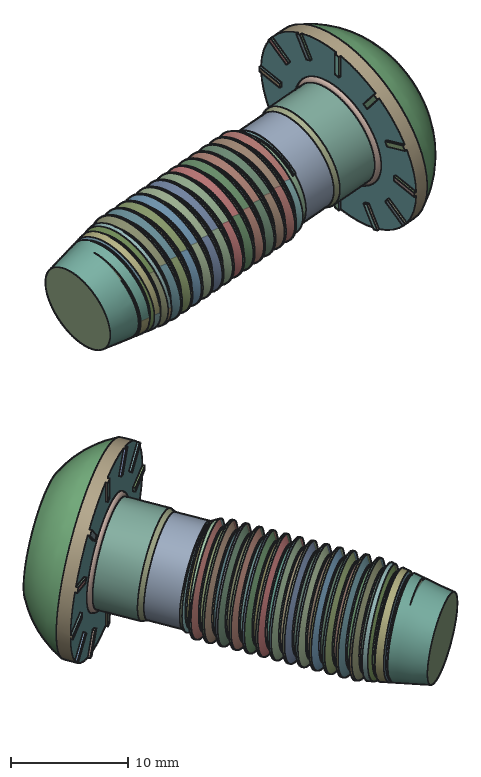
import cadquery as cq
import math

total_length = 35.7

head_radius = 19.6 / 2
head_flat_radius = 5.85
dome_radius = 9.45
dome_height = 4.25
head_height = 5.55
head_fillet = 0.4

rib_count = 12
rib_length = 2.6
rib_width = 0.55
rib_height = 0.2

shank_radius = 5.0
shank_end = 9.95
neck_radius = 4.8
neck_start = 10.45

major_radius = 5.35
thread_start = 13.67
run_in_length = 1.07
crest_span = 13.2
crest_intervals = 11
pitch = crest_span / crest_intervals
root_radius = 4.6
root_flat = pitch / 8
flank_half_angle = 30.0
groove_start_angle = 45.0
groove_turns = 17
groove_clearance = 0.1

tip_radius = 4.1
tip_slope = 0.19
cone_start = total_length - (major_radius - tip_radius) / tip_slope


def make_blank():
    """Head, shank, unthreaded neck, thread blank and tip cone as one revolution."""
    return (
        cq.Workplane("XZ")
        .moveTo(0, 0)
        .lineTo(head_flat_radius, 0)
        .radiusArc((head_radius, dome_height), -dome_radius)
        .lineTo(head_radius, head_height)
        .lineTo(shank_radius + head_fillet, head_height)
        .radiusArc((shank_radius, head_height + head_fillet), -head_fillet)
        .lineTo(shank_radius, shank_end)
        .lineTo(neck_radius, neck_start)
        .lineTo(neck_radius, thread_start)
        .lineTo(major_radius, thread_start + run_in_length)
        .lineTo(major_radius, cone_start)
        .lineTo(tip_radius, total_length)
        .lineTo(0, total_length)
        .close()
        .revolve(360, (0, 0, 0), (0, 1, 0))
    )


def make_groove_turn():
    """First turn of the right-handed V groove, bounded by four helical faces."""
    outer_radius = major_radius + groove_clearance
    groove_depth = outer_radius - root_radius
    root_half = root_flat / 2
    mouth_half = root_half + groove_depth * math.tan(math.radians(flank_half_angle))
    section = [
        (root_radius, -root_half),
        (outer_radius, -mouth_half),
        (outer_radius, mouth_half),
        (root_radius, root_half),
    ]
    helices = [
        cq.Wire.makeHelix(pitch, pitch, radius).translate(cq.Vector(0, 0, offset))
        for radius, offset in section
    ]
    faces = [
        cq.Face.makeRuledSurface(helix, following)
        for helix, following in zip(helices, helices[1:] + helices[:1])
    ]
    for end_parameter in (0, 1):
        corners = [helix.positionAt(end_parameter) for helix in helices]
        faces.append(cq.Face.makeFromWires(cq.Wire.makePolygon(corners, close=True)))
    groove = cq.Workplane(cq.Solid.makeSolid(cq.Shell.makeShell(faces)))
    start_height = thread_start + root_half
    groove = groove.rotate((0, 0, 0), (0, 0, 1), groove_start_angle)
    return groove.translate((0, 0, start_height))


def make_ribs():
    """Radial ribs on the underside of the head, ending flush with its rim."""
    bars = (
        cq.Workplane("XY", origin=(0, 0, head_height))
        .polarArray(head_radius - rib_length / 2, 0, 360, rib_count)
        .rect(rib_length, rib_width)
        .extrude(rib_height)
    )
    rim = cq.Workplane("XY", origin=(0, 0, head_height)).circle(head_radius).extrude(rib_height)
    return bars.intersect(rim)


def cut_thread(blank):
    """Cut the groove turn by turn until it runs out on the tip cone."""
    groove_turn = make_groove_turn()
    for turn in range(groove_turns):
        blank = blank.cut(groove_turn.translate((0, 0, turn * pitch)), clean=False)
    return blank


screw = cut_thread(make_blank().union(make_ribs()))
result = screw.rotate((0, 0, 0), (1, 0, 0), 90)